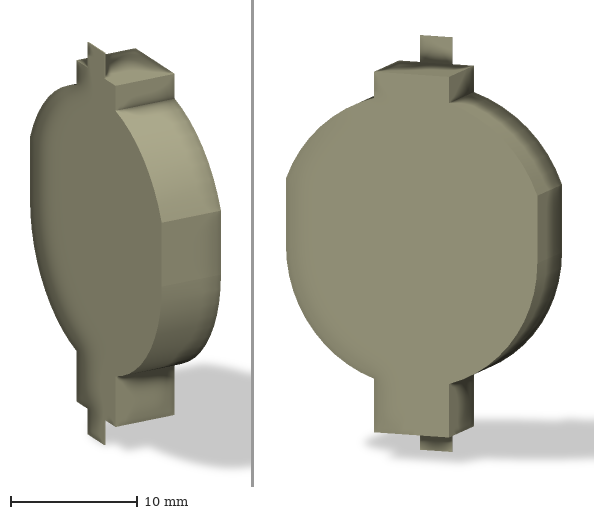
import cadquery as cq

total_height = 33.35
body_width = 21.4
thickness = 5.37
flat_top = 5.45
neck_width = 6.37
neck_height = 29.02
crown_height = 12.85
tab_width = 2.75
tab_thickness = 0.1

half_width = body_width / 2
front_face = -thickness / 2


def plate(width, height, depth):
    """Upright rectangular plate whose front is flush with the body's front face."""
    return cq.Workplane("XY").box(width, depth, height).translate((0, front_face + depth / 2, 0))


body = (
    cq.Workplane("XZ", origin=(0, thickness / 2, 0))
    .moveTo(-half_width, 0)
    .threePointArc((0, -half_width), (half_width, 0))
    .lineTo(half_width, flat_top)
    .threePointArc((0, crown_height), (-half_width, flat_top))
    .close()
    .extrude(thickness)
)

neck = plate(neck_width, neck_height, thickness)
tabs = plate(tab_width, total_height, tab_thickness)

result = body.union(neck).union(tabs)